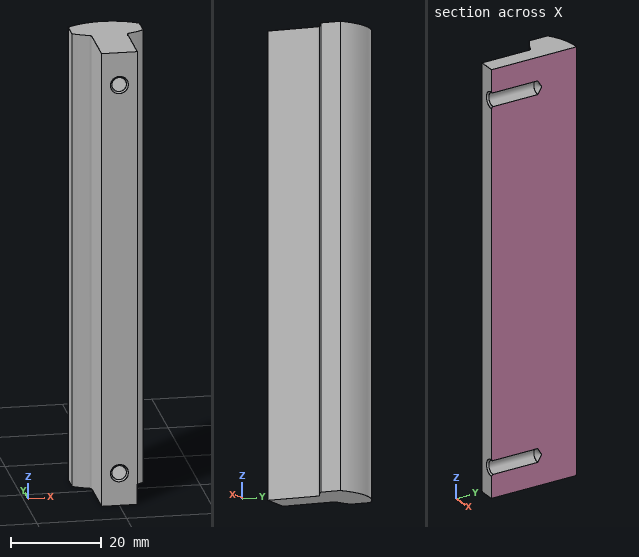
import cadquery as cq
import math

length = 105.0
head_width = 16.0
total_depth = 22.0

head_depth = 10.0
flat_depth = 4.7
stem_width = 8.0
root_fillet = 1.0

hole_diameter = 3.3
hole_mouth_diameter = 4.0
hole_depth = 12.0
hole_spacing = 90.0
drill_tip_angle = 118.0

crown_y = total_depth / 2
stem_edge_y = -total_depth / 2
head_bottom_y = crown_y - head_depth
arc_rise = (head_depth - flat_depth) / 2
flat_top_y = crown_y - arc_rise
flat_bottom_y = head_bottom_y + arc_rise


def make_head():
    half_width = head_width / 2
    return (
        cq.Workplane("XY", origin=(0, 0, -length / 2))
        .moveTo(half_width, flat_bottom_y)
        .lineTo(half_width, flat_top_y)
        .threePointArc((0, crown_y), (-half_width, flat_top_y))
        .lineTo(-half_width, flat_bottom_y)
        .threePointArc((0, head_bottom_y), (half_width, flat_bottom_y))
        .close()
        .extrude(length)
    )


def make_stem():
    head_middle_y = crown_y - head_depth / 2
    stem_depth = head_middle_y - stem_edge_y
    stem_middle_y = (head_middle_y + stem_edge_y) / 2
    return cq.Workplane("XY").box(stem_width, stem_depth, length).translate((0, stem_middle_y, 0))


def fillet_roots(body):
    arc_radius = ((head_width / 2) ** 2 + arc_rise**2) / (2 * arc_rise)
    root_rise = arc_radius - math.sqrt(arc_radius**2 - (stem_width / 2) ** 2)
    root_y = head_bottom_y + root_rise
    for side in (-1, 1):
        root = cq.selectors.NearestToPointSelector((side * stem_width / 2, root_y, 0))
        body = body.edges("|Z").edges(root).fillet(root_fillet)
    return body


def make_hole(z):
    radius = hole_diameter / 2
    mouth_radius = hole_mouth_diameter / 2
    mouth_depth = mouth_radius - radius
    tip_depth = radius / math.tan(math.radians(drill_tip_angle / 2))
    return (
        cq.Workplane("XY")
        .polyline([
            (0, 0),
            (mouth_radius, 0),
            (radius, mouth_depth),
            (radius, hole_depth),
            (0, hole_depth + tip_depth),
        ])
        .close()
        .revolve(360, (0, 0), (0, 1))
        .translate((0, stem_edge_y, z))
    )


result = fillet_roots(make_head().union(make_stem()))
for end in (-1, 1):
    result = result.cut(make_hole(end * hole_spacing / 2))